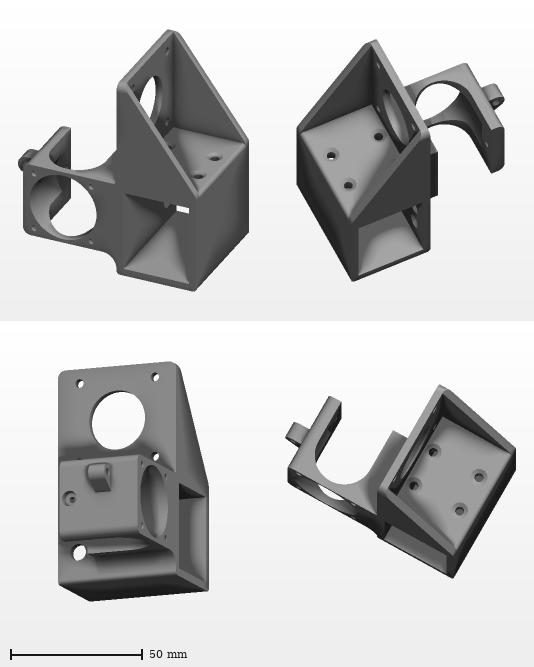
import cadquery as cq
import math

OVERCUT = 1.0

depth = 48.5
wall = 3.0
total_height = 83.4
box_width = 33.4
box_edge_radius = 1.5
duct_top = 36.4
roof_thickness = 5.0
hopper_floor = duct_top + roof_thickness
gusset_end_height = 41.6
gusset_end_radius = 4.0
plate_corner_radius = 3.0

motor_center_y = depth / 2
motor_center_z = 62.3
motor_bore_diameter = 23.0
motor_screw_spacing = 31.0
screw_diameter = 3.4

countersink_diameter = 6.4
countersink_depth = 0.9
roof_screw_center_x = box_width / 2
roof_screw_center_y = depth / 2
roof_screw_spacing_x = 20.0
roof_screw_spacing_y = 15.0

plate_hole_diameter = 6.4
plate_hole_offset_y = 16.0
plate_hole_y = motor_center_y + plate_hole_offset_y
plate_hole_heights = (12.0, 22.0)

block_length = 39.2
block_top = duct_top + wall
block_height = 31.0
block_depth = 32.0
block_corner_radius = 3.2
upper_fillet_radius = box_edge_radius
lower_fillet_radius = 6.0
block_bottom = block_top - block_height
fan_center_x = -22.35
fan_center_z = block_bottom + block_height / 2
fan_bore_diameter = 28.0
fan_bore_depth = 24.0
fan_screw_spacing = 24.0
pilot_diameter = 2.5
fan_screw_depth = 10.0
slot_width = 22.6
slot_end_y = wall

clamp_y = (fan_bore_depth + block_depth) / 2
clamp_head_diameter = 6.0
clamp_head_depth = 3.0
clamp_thread_depth = 10.0

tab_radius = 3.5
tab_center_x = -42.81
tab_center_z = 31.9
tab_base_z = 25.3
tab_front_y = 10.8
tab_width = 6.6


def block(x_range, y_range, z_range):
    """Box between the given (low, high) limits."""
    size = [high - low for low, high in (x_range, y_range, z_range)]
    corner = (x_range[0], y_range[0], z_range[0])
    return cq.Workplane("XY").box(*size, centered=False).translate(corner)


def rod_x(diameter, x_start, x_end, y, z):
    """Cylinder along X."""
    plane = cq.Workplane("YZ", origin=(x_start, y, z))
    return plane.circle(diameter / 2).extrude(x_end - x_start)


def rod_y(diameter, y_start, y_end, x, z):
    """Cylinder along Y."""
    plane = cq.Workplane("XZ", origin=(x, y_start, z))
    return plane.circle(diameter / 2).extrude(y_start - y_end)


def rectangle_corners(center_a, center_b, spacing_a, spacing_b):
    """Four points at the corners of a rectangle."""
    return [
        (center_a + i * spacing_a / 2, center_b + j * spacing_b / 2)
        for i in (-1, 1)
        for j in (-1, 1)
    ]


def make_duct_box():
    """Solid box whose roof is the hopper floor; the duct is cut later."""
    tube = block((0, box_width), (0, depth), (0, hopper_floor))
    return tube.edges("|Y").edges(">X or <Z").fillet(box_edge_radius)


def make_plate_and_gussets():
    """Upright plate and two sloped side walls, sharing rounded top corners."""
    side_outline = (
        cq.Workplane("XZ")
        .moveTo(0, wall)
        .lineTo(box_width, wall)
        .lineTo(box_width, gusset_end_height)
        .lineTo(wall, total_height)
        .lineTo(0, total_height)
        .close()
        .extrude(-depth)
    )
    end_point = (box_width, depth / 2, gusset_end_height)
    body = side_outline.edges(cq.NearestToPointSelector(end_point)).fillet(gusset_end_radius)
    front_profile = block((-OVERCUT, box_width + OVERCUT), (0, depth), (0, total_height))
    body = body.intersect(front_profile.edges("|X and >Z").fillet(plate_corner_radius))
    hopper = block((wall, box_width + OVERCUT), (wall, depth - wall), (0, total_height + OVERCUT))
    return body.cut(hopper)


def make_fan_block():
    """Block with rounded free edges, blended into the motor plate."""
    top = block_top
    bottom = block_bottom
    bulge = math.sqrt(0.5)

    def arc_point(center_x, center_z, radius, side_x, side_z):
        return (center_x + side_x * bulge * radius, center_z + side_z * bulge * radius)

    r = block_corner_radius
    up = upper_fillet_radius
    low = lower_fillet_radius
    left = -block_length
    outline = (
        cq.Workplane("XZ")
        .moveTo(left + r, bottom)
        .lineTo(-low, bottom)
        .threePointArc(arc_point(-low, bottom - low, low, 1, 1), (0, bottom - low))
        .lineTo(wall, bottom - low)
        .lineTo(wall, top + up)
        .lineTo(0, top + up)
        .threePointArc(arc_point(-up, top + up, up, 1, -1), (-up, top))
        .lineTo(left + r, top)
        .threePointArc(arc_point(left + r, top - r, r, -1, 1), (left, top - r))
        .lineTo(left, bottom + r)
        .threePointArc(arc_point(left + r, bottom + r, r, -1, -1), (left + r, bottom))
        .close()
    )
    return outline.extrude(-block_depth)


def make_tab():
    """Round-nosed tab with a flat top and a lower flank tangent to the nose."""
    base_x = -block_length
    reach_x = base_x - tab_center_x
    reach_z = tab_base_z - tab_center_z
    base_angle = math.atan2(reach_z, reach_x)
    tangent_angle = base_angle - math.acos(tab_radius / math.hypot(reach_x, reach_z))
    tangent = (
        tab_center_x + tab_radius * math.cos(tangent_angle),
        tab_center_z + tab_radius * math.sin(tangent_angle),
    )
    tab = (
        cq.Workplane("XZ", origin=(0, tab_front_y, 0))
        .moveTo(base_x + OVERCUT, tab_base_z)
        .lineTo(base_x, tab_base_z)
        .lineTo(*tangent)
        .threePointArc(
            (tab_center_x - tab_radius, tab_center_z),
            (tab_center_x, tab_center_z + tab_radius),
        )
        .lineTo(base_x + OVERCUT, tab_center_z + tab_radius)
        .close()
        .extrude(-tab_width)
    )
    return tab.cut(rod_y(screw_diameter, 0, block_depth, tab_center_x, tab_center_z))


def cut_duct(body):
    return body.cut(
        block((wall, box_width - wall), (-OVERCUT, depth + OVERCUT), (wall, duct_top))
    )


def cut_roof_screws(body):
    for x, y in rectangle_corners(
        roof_screw_center_x, roof_screw_center_y, roof_screw_spacing_x, roof_screw_spacing_y
    ):
        hole = (
            cq.Workplane("XY", origin=(x, y, duct_top))
            .circle(screw_diameter / 2)
            .extrude(hopper_floor - duct_top)
        )
        cone = cq.Solid.makeCone(
            countersink_diameter / 2,
            screw_diameter / 2,
            countersink_depth,
            cq.Vector(x, y, hopper_floor),
            cq.Vector(0, 0, -1),
        )
        body = body.cut(hole).cut(cq.Workplane(cone))
    return body


def cut_motor_mount(body):
    body = body.cut(rod_x(motor_bore_diameter, 0, wall, motor_center_y, motor_center_z))
    for y, z in rectangle_corners(
        motor_center_y, motor_center_z, motor_screw_spacing, motor_screw_spacing
    ):
        body = body.cut(rod_x(screw_diameter, 0, wall, y, z))
    return body


def cut_plate_holes(body):
    for z in plate_hole_heights:
        body = body.cut(rod_x(plate_hole_diameter, 0, wall, plate_hole_y, z))
    return body


def cut_fan_mount(body):
    body = body.cut(rod_y(fan_bore_diameter, 0, fan_bore_depth, fan_center_x, fan_center_z))
    for x, z in rectangle_corners(fan_center_x, fan_center_z, fan_screw_spacing, fan_screw_spacing):
        body = body.cut(rod_y(pilot_diameter, 0, fan_screw_depth, x, z))
    return body


def cut_slot(body):
    """U-shaped slot through the fan block, open at the back."""
    radius = slot_width / 2
    arc_center_y = slot_end_y + radius
    slot = (
        cq.Workplane("XY", origin=(0, 0, block_bottom))
        .moveTo(fan_center_x - radius, block_depth)
        .lineTo(fan_center_x - radius, arc_center_y)
        .threePointArc((fan_center_x, slot_end_y), (fan_center_x + radius, arc_center_y))
        .lineTo(fan_center_x + radius, block_depth)
        .close()
        .extrude(block_height)
    )
    return body.cut(slot)


def cut_clamp_screw(body):
    """Counterbored hole through the outer cheek and blind into the inner one."""
    left = -block_length
    thread_end = fan_center_x + slot_width / 2 + clamp_thread_depth
    body = body.cut(rod_x(pilot_diameter, left, thread_end, clamp_y, fan_center_z))
    return body.cut(
        rod_x(clamp_head_diameter, left, left + clamp_head_depth, clamp_y, fan_center_z)
    )


body = make_duct_box().union(make_plate_and_gussets()).union(make_fan_block())
body = cut_duct(body)
body = cut_roof_screws(body)
body = cut_motor_mount(body)
body = cut_plate_holes(body)
body = cut_fan_mount(body)
body = cut_slot(body)
body = cut_clamp_screw(body)
result = body.union(make_tab())